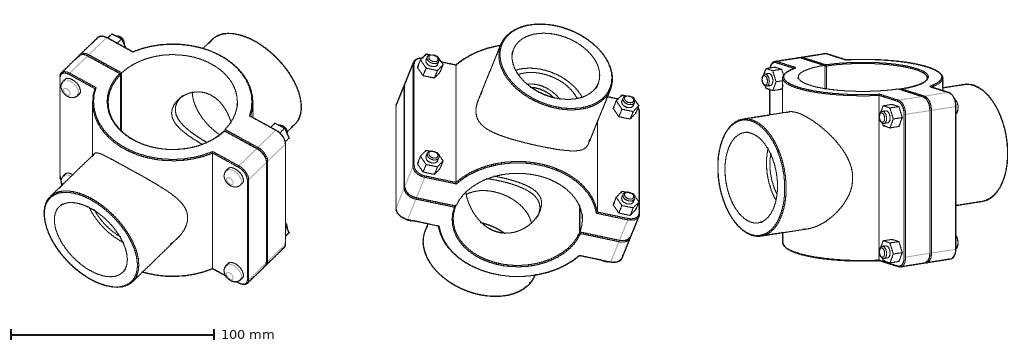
import cadquery as cq
import math

CLAMP_HEIGHT = 84.0
CLAMP_WIDTH = 116.0
FLANGE_THICKNESS = 15.5
FLANGE_CORNER_RADIUS = 6.0
RING_RADIUS = 39.4
BORE_RADIUS = 31.8
EDGE_CHAMFER = 0.5

PIPE_END = 67.0
PIPE_OUTER_RADIUS = 58.3 / 2
PIPE_BORE_RADIUS = 39.0 / 2
SOCKET_RADIUS = 44.9 / 2
SOCKET_DEPTH = 24.9
PIPE_SEAT_RADIUS = 34.2

BOLT_X = 50.1
BOLT_Z = 34.0
HEAD_RADIUS = 10.0 / 2
HEAD_HEIGHT = 4.4
HEAD_ROUNDING = 3.0
SHANK_RADIUS = 6.0 / 2
NUT_WIDTH = 10.0
NUT_HEIGHT = 5.4
TIP_LENGTH = 2.8
TIP_CHAMFER = 0.7


def vertical_cylinder(radius):
    """Cylinder on the clamp axis, as tall as the clamp."""
    return cq.Workplane("XY").circle(radius).extrude(CLAMP_HEIGHT / 2, both=True)


def front_cylinder(radius, start, end):
    """Cylinder along the Y axis, from y = -start to y = -end."""
    return cq.Workplane("XZ").workplane(offset=start).circle(radius).extrude(end - start)


def clamp_half(bore_rim_chamfered):
    """Front half of the clamp, solid up to the parting plane y = 0."""
    flanges = (
        cq.Workplane("XY")
        .box(CLAMP_WIDTH, FLANGE_THICKNESS, CLAMP_HEIGHT)
        .translate((0, -FLANGE_THICKNESS / 2, 0))
        .edges("|Y")
        .fillet(FLANGE_CORNER_RADIUS)
    )
    front_space = (
        cq.Workplane("XY")
        .box(CLAMP_WIDTH, RING_RADIUS, CLAMP_HEIGHT)
        .translate((0, -RING_RADIUS / 2, 0))
    )
    half_ring = vertical_cylinder(RING_RADIUS).intersect(front_space)
    half = flanges.union(half_ring).cut(vertical_cylinder(BORE_RADIUS))

    corner_x = math.sqrt(RING_RADIUS**2 - FLANGE_THICKNESS**2)

    def is_chamfered(edge):
        if edge.geomType() == "CIRCLE":
            is_bore_rim = math.isclose(edge.radius(), BORE_RADIUS)
            return bore_rim_chamfered or not is_bore_rim
        center = edge.Center()
        is_corner = math.isclose(abs(center.x), corner_x) and math.isclose(center.y, -FLANGE_THICKNESS)
        return not is_corner

    return half.edges("not |Y").filter(is_chamfered).chamfer(EDGE_CHAMFER)


def pipe_openings():
    """Front recess that holds a pipe, with the pipe's bore continued through the clamp wall."""
    recess = front_cylinder(PIPE_OUTER_RADIUS, 0, PIPE_END).cut(vertical_cylinder(PIPE_SEAT_RADIUS))
    return recess.union(front_cylinder(PIPE_BORE_RADIUS, 0, PIPE_END))


def fastener(x, z):
    """Bolt and nut that hold the two flanges together at one corner."""
    nut_face = FLANGE_THICKNESS + NUT_HEIGHT
    tip = nut_face + TIP_LENGTH
    head = (
        front_cylinder(HEAD_RADIUS, FLANGE_THICKNESS, FLANGE_THICKNESS + HEAD_HEIGHT)
        .faces("<Y")
        .edges()
        .fillet(HEAD_ROUNDING)
    )
    shank = (
        front_cylinder(SHANK_RADIUS, -tip, FLANGE_THICKNESS)
        .faces(">Y")
        .edges()
        .chamfer(TIP_CHAMFER)
    )
    nut = (
        cq.Workplane("XZ")
        .workplane(offset=-nut_face)
        .polygon(6, NUT_WIDTH / math.cos(math.pi / 6))
        .extrude(NUT_HEIGHT)
    )
    return head.union(shank).union(nut).translate((x, 0, z))


def bolted_clamp():
    """Both halves, joined at the parting plane and by the four fasteners."""
    front_half = clamp_half(bore_rim_chamfered=True).cut(pipe_openings())
    back_half = clamp_half(bore_rim_chamfered=False).cut(pipe_openings()).mirror("XZ")
    body = front_half.union(back_half)
    for x in (-BOLT_X, BOLT_X):
        for z in (-BOLT_Z, BOLT_Z):
            body = body.union(fastener(x, z))
    return body


def side_pipe(turn):
    """Pipe with a socket in its open end, turned about the clamp axis from the front."""
    pipe = (
        front_cylinder(PIPE_OUTER_RADIUS, 0, PIPE_END)
        .faces("<Y")
        .edges()
        .chamfer(EDGE_CHAMFER)
        .cut(vertical_cylinder(PIPE_SEAT_RADIUS))
        .cut(front_cylinder(PIPE_BORE_RADIUS, 0, PIPE_END))
        .cut(front_cylinder(SOCKET_RADIUS, PIPE_END - SOCKET_DEPTH, PIPE_END))
    )
    return pipe.rotate((0, 0, 0), (0, 0, 1), turn)


clamp = bolted_clamp()
side_pipes = [side_pipe(turn) for turn in (0, 180)]

result = cq.Compound.makeCompound([clamp.solids().val(), *[pipe.solids().val() for pipe in side_pipes]])